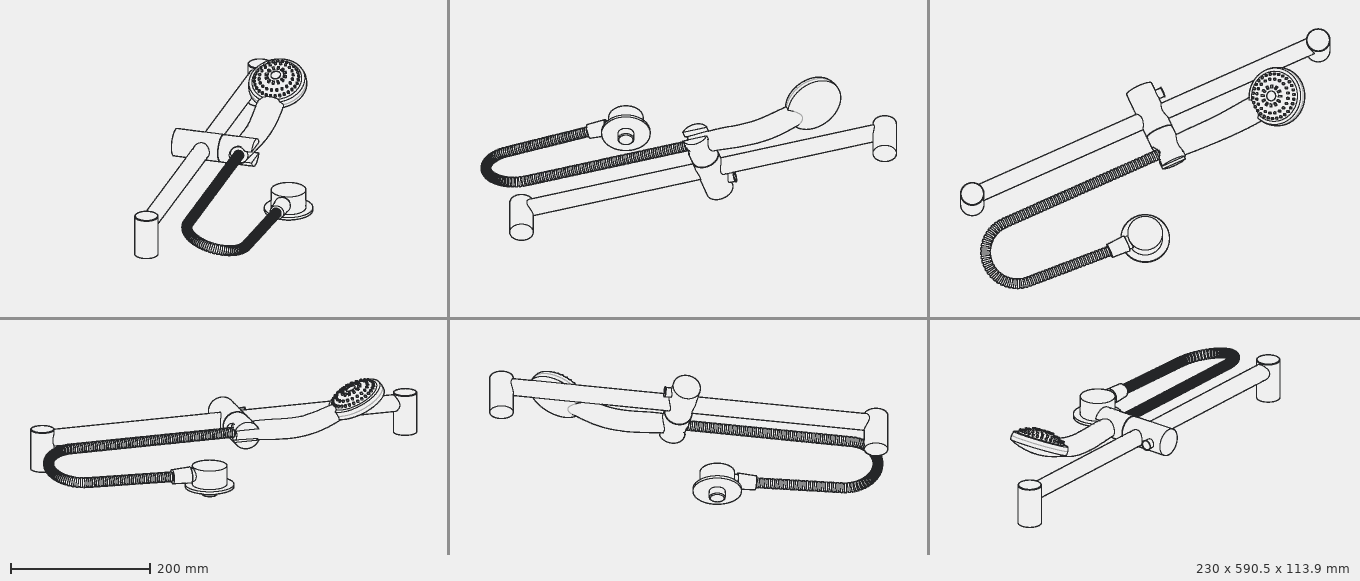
import cadquery as cq
import math


post_spacing = 546.0
post_diameter = 34.0
post_height = 60.0
post_chamfer = 1.0
overall_length = 590.45
rail_diameter = 24.5
rail_height = 45.0

slider_left = -45.0
slider_length = 120.0
slider_radius = 20.0
slider_y = 11.0
holder_x = 55.0
holder_slot_height = 17.0
seam_x = 24.5
seam_width = 0.6
seam_depth = 0.6
knob_x = -26.5
knob_radius = 7.5
knob_stem_radius = 6.8
knob_cap_thickness = 1.0
knob_reach = 9.0

outlet_x = 150.0
outlet_y = -69.0
flange_radius = 35.0
flange_thickness = 4.0
outlet_radius = 25.0
outlet_height = 32.0
inlet_radius = 11.5
inlet_length = 12.0
inlet_chamfer = 1.5
spout_height = 20.8
spout_radius = 9.5
spout_end = 29.0
nut_large_radius = 11.8
nut_small_radius = 10.3
nut_end = 56.0
hose_socket_depth = 3.0

hose_radius = 7.2
hose_core_radius = 6.2
hose_bend_radius = 45.5
hose_lowest_y = (post_spacing + post_diameter) / 2 - overall_length
ring_pitch = 5.5
ring_width = 3.0

head_y = 183.2
head_z = 73.75
head_tilt = 26.5
rim_radius = 42.0
rim_half_width = 3.0
bezel_radius = 40.5
bezel_height = 9.0
dome_radius = 36.0
dome_foot_height = 10.0
dome_height = 21.5
bowl_depth = 13.5
bowl_mid_radius = 25.0
bowl_mid_depth = 10.0
disc_radius = 7.0
disc_height = 0.6
nozzle_height = 2.0
nozzle_root = 2.0
nozzle_radius = 1.6
slot_nozzle_length = 4.5
slot_nozzle_width = 2.6
slot_nozzle_ring_radius = 13.5
slot_nozzle_count = 12
nozzle_rings = [(24.5, 20), (32.0, 30)]

handle_end_y = slider_y - 13.0
handle_sections = [
    (handle_end_y, rail_height, 0, 13.0, 13.0),
    (slider_y + slider_radius, 44.6, 0, 16.3, 13.4),
    (71, 42.5, 2, 17.5, 14.4),
    (110, 45.2, 18, 18.7, 13.7),
    (143, 56.0, 22, 19.5, 12.0),
    (165, 63.0, 20, 18.0, 9.0),
]


def cylinder(radius, length, base, direction):
    return cq.Workplane(cq.Solid.makeCylinder(radius, length, cq.Vector(*base), cq.Vector(*direction)))


def make_rail():
    rail = cylinder(rail_diameter / 2, post_spacing, (0, -post_spacing / 2, rail_height), (0, 1, 0))
    for y in (-post_spacing / 2, post_spacing / 2):
        post = cylinder(post_diameter / 2, post_height, (0, y, 0), (0, 0, 1))
        rail = rail.union(post.faces(">Z").chamfer(post_chamfer))
    return rail


def make_head():
    """Spray head revolved about Z, tilted down toward the handle and moved into place."""
    dome_rise = dome_height - dome_foot_height
    sphere_radius = (dome_radius**2 + dome_rise**2) / (2 * dome_rise)

    def dome_level(radius):
        return dome_height - sphere_radius + math.sqrt(sphere_radius**2 - radius**2)

    mid = dome_radius / 2
    head = (
        cq.Workplane("XZ")
        .moveTo(0, -bowl_depth)
        .threePointArc((bowl_mid_radius, -bowl_mid_depth), (rim_radius, -rim_half_width))
        .lineTo(rim_radius, rim_half_width)
        .lineTo(bezel_radius, bezel_height)
        .lineTo(dome_radius, dome_foot_height)
        .threePointArc((mid, dome_level(mid)), (0, dome_height))
        .close()
        .revolve(360, (0, 0, 0), (0, 1, 0))
    )

    raised = []
    disc_base = dome_level(disc_radius) - disc_height
    raised.append(cq.Solid.makeCylinder(disc_radius, dome_height + disc_height - disc_base,
                                        cq.Vector(0, 0, disc_base)))

    slot_base = dome_level(slot_nozzle_ring_radius) - nozzle_root
    slot_nozzle = (
        cq.Workplane("XY", origin=(slot_nozzle_ring_radius, 0, slot_base))
        .rect(slot_nozzle_length, slot_nozzle_width)
        .extrude(nozzle_root + nozzle_height)
        .val()
    )
    for i in range(slot_nozzle_count):
        raised.append(slot_nozzle.rotate((0, 0, 0), (0, 0, 1), i * 360 / slot_nozzle_count))

    for ring_radius, count in nozzle_rings:
        base = dome_level(ring_radius) - nozzle_root
        nozzle = cq.Solid.makeCylinder(nozzle_radius, nozzle_root + nozzle_height,
                                       cq.Vector(ring_radius, 0, base))
        for i in range(count):
            raised.append(nozzle.rotate((0, 0, 0), (0, 0, 1), 90 + i * 360 / count))

    head = cq.Workplane(head.val().fuse(*raised))
    return head.rotate((0, 0, 0), (1, 0, 0), head_tilt).translate((holder_x, head_y, head_z))


def make_handle():
    """Curved handle lofted through ellipses that climb toward the head."""
    wires = []
    for y, z, slope, half_width, half_thickness in handle_sections:
        angle = math.radians(slope)
        forward = cq.Vector(0, math.cos(angle), math.sin(angle))
        centre = cq.Vector(holder_x, y, z)
        ellipse = cq.Edge.makeEllipse(half_width, half_thickness, centre, forward, cq.Vector(1, 0, 0))
        wires.append(cq.Wire.assembleEdges([ellipse]))
    return cq.Workplane(cq.Solid.makeLoft(wires))


def make_slider(handle):
    slider = cylinder(slider_radius, slider_length, (slider_left, slider_y, rail_height), (1, 0, 0))

    knob_tip_y = slider_y + slider_radius + knob_reach
    stem = cylinder(knob_stem_radius, knob_tip_y - slider_y, (knob_x, slider_y, rail_height), (0, 1, 0))
    cap = cylinder(knob_radius, knob_cap_thickness, (knob_x, knob_tip_y, rail_height), (0, -1, 0))
    slider = slider.union(stem).union(cap)

    seam = cylinder(slider_radius + seam_depth, seam_width, (seam_x, slider_y, rail_height), (1, 0, 0))
    seam = seam.cut(cylinder(slider_radius - seam_depth, seam_width,
                             (seam_x, slider_y, rail_height), (1, 0, 0)))
    slider = slider.cut(seam)

    hole = cylinder(rail_diameter / 2, 4 * slider_radius,
                    (0, slider_y - 2 * slider_radius, rail_height), (0, 1, 0))
    seat_radius = handle_sections[0][3]
    seat = cylinder(seat_radius, 2 * slider_radius, (holder_x, handle_end_y, rail_height), (0, -1, 0))
    slot_length = slider_left + slider_length - holder_x
    slot = cq.Workplane("XY", origin=(holder_x + slot_length / 2, slider_y, rail_height)).box(
        slot_length, 2 * slider_radius, holder_slot_height)
    return slider.cut(hole).cut(seat).cut(handle).cut(slot)


def make_hose():
    """Ringed hose laid out flat in XY, starting at the handle, then tilted into place."""
    drop = rail_height - spout_height
    span = outlet_x - holder_x
    tilt = math.atan2(drop, span)
    end_x = math.hypot(span, drop)
    end_y = outlet_y - nut_end + hose_socket_depth - handle_end_y
    bend_x = hose_bend_radius
    bend_y = hose_lowest_y + hose_radius + hose_bend_radius - handle_end_y

    dx = end_x - bend_x
    dy = end_y - bend_y
    tangent_angle = math.atan2(dy, dx) - math.acos(hose_bend_radius / math.hypot(dx, dy))

    def on_bend(angle):
        return (bend_x + hose_bend_radius * math.cos(angle), bend_y + hose_bend_radius * math.sin(angle))

    path = (
        cq.Workplane("XY")
        .lineTo(0, bend_y)
        .threePointArc(on_bend(-math.pi / 2), on_bend(tangent_angle))
        .lineTo(end_x, end_y)
        .wire()
    )
    core = cq.Workplane("XZ").circle(hose_core_radius).sweep(path).val()

    centreline = path.val()
    length = centreline.Length()
    ring_count = int((length - hose_socket_depth) / ring_pitch)
    rings = []
    for i in range(ring_count):
        distance = i * ring_pitch + ring_pitch / 2
        direction = centreline.tangentAt(distance / length)
        middle = centreline.positionAt(distance / length)
        rings.append(cq.Solid.makeCylinder(hose_radius, ring_width,
                                           middle - direction * (ring_width / 2), direction))
    hose = core.fuse(*rings)
    place = cq.Plane(
        origin=(holder_x, handle_end_y, rail_height),
        xDir=(math.cos(tilt), 0, -math.sin(tilt)),
        normal=(math.sin(tilt), 0, math.cos(tilt)),
    )
    return cq.Workplane(hose.moved(cq.Location(place)))


def make_outlet(hose):
    centre = (outlet_x, outlet_y, 0)
    outlet = cylinder(inlet_radius, inlet_length, centre, (0, 0, -1)).faces("<Z").chamfer(inlet_chamfer)
    outlet = outlet.union(cylinder(flange_radius, flange_thickness, centre, (0, 0, 1)))
    outlet = outlet.union(cylinder(outlet_radius, outlet_height, centre, (0, 0, 1)))
    outlet = outlet.union(cylinder(spout_radius, spout_end, (outlet_x, outlet_y, spout_height), (0, -1, 0)))
    nut = cq.Solid.makeCone(
        nut_large_radius, nut_small_radius, nut_end - spout_end,
        cq.Vector(outlet_x, outlet_y - spout_end, spout_height), cq.Vector(0, -1, 0))
    return outlet.union(cq.Workplane(nut)).cut(hose)


rail = make_rail()
handle = make_handle()
handset = make_head().union(handle)
slider = make_slider(handle)
hose = make_hose()
outlet = make_outlet(hose)

result = cq.Compound.makeCompound([rail.val(), slider.val(), handset.val(), hose.val(), outlet.val()])